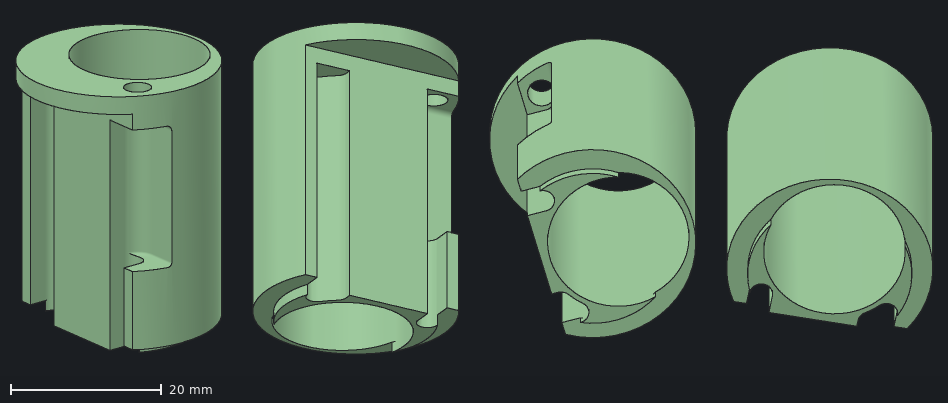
import cadquery as cq
import math

total_height = 37.5
body_diameter = 27.4
flange_thickness = 2.5
foot_height = 1.5
foot_diameter = 21.82
flat_y = -7.1
cut_margin = 3.75
beyond_body = body_diameter / 2 + cut_margin

bore_diameter = 18.8
bore_y = 3.52

slot_x = 8.45
slot_y = -4.45
slot_radius = 1.5
shoulder_height = 2.25
slot_top = total_height - flange_thickness - shoulder_height
wide_slot_right = -4.95

pocket_left = 6.98
pocket_floor_y = -1.88
pocket_bottom = 12.65
pocket_corner_radius = 2.6
pocket_top_fillet = 0.82
pocket_bottom_fillet = 0.6
pin_diameter = 3.7
pin_x = 9.45
pin_y = -4.4


def cylinder(diameter, bottom, top, x=0, y=0):
    return cq.Workplane("XY", origin=(x, y, bottom)).circle(diameter / 2).extrude(top - bottom)


def block(left, right, front, back, bottom, top):
    return (
        cq.Workplane("XY", origin=(left, front, bottom))
        .box(right - left, back - front, top - bottom, centered=False)
    )


def flatted_body():
    """Cylinder with a reduced foot and a flat on -Y that stops under the flange."""
    barrel = cylinder(body_diameter, foot_height, total_height)
    foot = cylinder(foot_diameter, 0, foot_height)
    flat = block(
        -beyond_body, beyond_body, -beyond_body, flat_y,
        0, total_height - flange_thickness,
    )
    return barrel.union(foot).cut(flat)


def slot_cutter():
    """Right slot, open to -Y and to the bottom, with a semicircular inner end."""
    round_end = cylinder(2 * slot_radius, 0, slot_top, slot_x, slot_y)
    mouth = block(
        slot_x - slot_radius, slot_x + slot_radius, -beyond_body, slot_y, 0, slot_top
    )
    return round_end.union(mouth)


def point_on_circle(center, radius, angle):
    return (center[0] + radius * math.cos(angle), center[1] + radius * math.sin(angle))


def direction(start, end):
    return math.atan2(end[1] - start[1], end[0] - start[0])


def wide_slot_cutter():
    """Left slot, widened along a thin wall concentric with the bore."""
    bore_center = (0, bore_y)
    slot_center = (-slot_x, slot_y)

    wall_radius = math.dist(bore_center, slot_center) - slot_radius
    wall_start_angle = direction(bore_center, slot_center)
    wall_start = point_on_circle(bore_center, wall_radius, wall_start_angle)

    corner_x = wide_slot_right - slot_radius
    corner_y = bore_y - math.sqrt((wall_radius + slot_radius) ** 2 - corner_x**2)
    corner_center = (corner_x, corner_y)
    wall_end_angle = direction(bore_center, corner_center)
    wall_end = point_on_circle(bore_center, wall_radius, wall_end_angle)

    slot_end_angle = direction(slot_center, bore_center)
    slot_mid = point_on_circle(slot_center, slot_radius, (math.pi + slot_end_angle) / 2)
    wall_mid = point_on_circle(bore_center, wall_radius, (wall_start_angle + wall_end_angle) / 2)
    corner_mid = point_on_circle(corner_center, slot_radius, direction(corner_center, bore_center) / 2)

    slot_left = -slot_x - slot_radius
    return (
        cq.Workplane("XY")
        .moveTo(slot_left, -beyond_body)
        .lineTo(slot_left, slot_y)
        .threePointArc(slot_mid, wall_start)
        .threePointArc(wall_mid, wall_end)
        .threePointArc(corner_mid, (wide_slot_right, corner_y))
        .lineTo(wide_slot_right, -beyond_body)
        .close()
        .extrude(slot_top)
    )


def pocket_cutter():
    """Pocket open to -Y and +X, rounded where its walls meet the floor."""
    pocket = block(
        pocket_left, beyond_body, -beyond_body, pocket_floor_y, pocket_bottom, slot_top
    )
    pocket = pocket.edges("|Z and <X and >Y").fillet(pocket_corner_radius)
    pocket = pocket.faces(">Z").edges(">Y").fillet(pocket_top_fillet)
    return pocket.faces("<Z").edges(">Y").fillet(pocket_bottom_fillet)


bore = cylinder(bore_diameter, 0, total_height, y=bore_y)
pin_hole = cylinder(pin_diameter, slot_top - pocket_top_fillet, total_height, pin_x, pin_y)

result = (
    flatted_body()
    .cut(bore)
    .cut(wide_slot_cutter())
    .cut(slot_cutter())
    .cut(pocket_cutter())
    .cut(pin_hole)
)